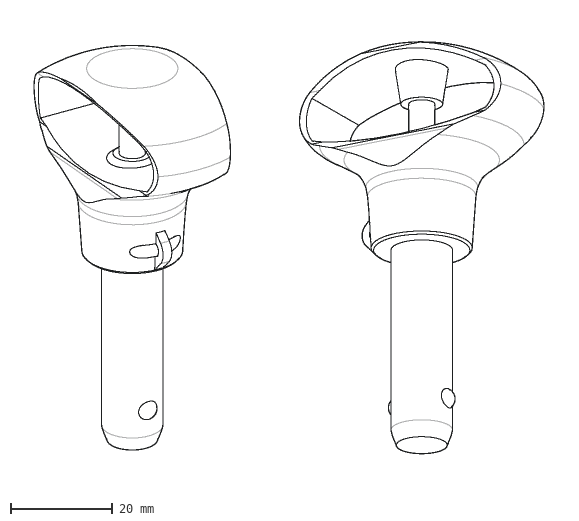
import cadquery as cq
import math

TOTAL_HEIGHT = 81.1
HANDLE_RADIUS = 24.5
HANDLE_MID_Z = 68.9

SHANK_RADIUS = 6.1
TIP_RADIUS = 5.0
TIP_MID_RADIUS = 5.7
TIP_LENGTH = 3.2

BALL_RADIUS = 2.2
BALL_REACH = 7.3
BALL_Z = 8.75

COLLAR_BOTTOM_Z = 40.8
COLLAR_BOTTOM_RADIUS = 10.0
COLLAR_TOP_Z = 52.1
COLLAR_TOP_RADIUS = 10.7
COLLAR_CHAMFER = 0.5

NECK_RADIUS = 11.0
NECK_Z = 54.0
FLARE_RADIUS = 15.3
FLARE_Z = 59.7
BULGE_RADIUS = 20.2
BULGE_Z = 62.8

TOP_FLAT_RADIUS = 9.0
SHOULDER_RADIUS = 22.0
SHOULDER_Z = 74.6

FLARE_MID = (12.65, 57.3)
LOWER_BULGE_MID = (23.35, 65.45)
UPPER_BULGE_MID = (23.85, 72.2)
DOME_MID = (15.7, 78.6)

FLAT_HALF_WIDTH = 11.35
RIM_HALF_WIDTH = 12.4
WAIST_HALF_WIDTH = 8.4
FLAT_TOP_Z = 60.7
EDGE_HALF_WIDTH = 11.2
EDGE_Z = 61.3
WAIST_START_HALF_WIDTH = 9.2
WAIST_START_Z = 63.75
WAIST_END_HALF_WIDTH = 9.6
WAIST_END_Z = 74.45
RIM_Z = 79.3

WINDOW_HALF_LENGTH = 21.4
WINDOW_LOWER_X = 19.8
WINDOW_LOWER_Z = 64.5
WINDOW_UPPER_X = 19.7
WINDOW_UPPER_Z = 73.3
WINDOW_TOP_Z = 78.9
WINDOW_BOTTOM_Z = 61.55

ROD_RADIUS = 2.6
BUTTON_BOTTOM_Z = 71.4
BUTTON_BOTTOM_RADIUS = 4.1
BUTTON_TOP_RADIUS = 5.3
BOSS_TOP_Z = 62.6
BOSS_TOP_RADIUS = 3.8
BOSS_BOTTOM_RADIUS = 5.1
OVERLAP = 0.8
CUT_REACH = HANDLE_RADIUS + 4.05
ENVELOPE_BOTTOM_Z = COLLAR_BOTTOM_Z - OVERLAP
ENVELOPE_TOP_Z = TOTAL_HEIGHT + OVERLAP

LUG_X = 9.9
LUG_Z = 45.8
LUG_RADIUS = 3.2
LUG_HOLE_RADIUS = 1.5
LUG_THICKNESS = 2.0
LUG_ROOT_X = 7.3


def handle_body():
    """Collar and domed handle, turned about Z from a profile on the +Y side."""
    return (
        cq.Workplane("YZ")
        .moveTo(0, COLLAR_BOTTOM_Z)
        .lineTo(COLLAR_BOTTOM_RADIUS - COLLAR_CHAMFER, COLLAR_BOTTOM_Z)
        .lineTo(COLLAR_BOTTOM_RADIUS, COLLAR_BOTTOM_Z + COLLAR_CHAMFER)
        .lineTo(COLLAR_TOP_RADIUS, COLLAR_TOP_Z)
        .lineTo(NECK_RADIUS, NECK_Z)
        .threePointArc(FLARE_MID, (FLARE_RADIUS, FLARE_Z))
        .lineTo(BULGE_RADIUS, BULGE_Z)
        .threePointArc(LOWER_BULGE_MID, (HANDLE_RADIUS, HANDLE_MID_Z))
        .threePointArc(UPPER_BULGE_MID, (SHOULDER_RADIUS, SHOULDER_Z))
        .threePointArc(DOME_MID, (TOP_FLAT_RADIUS, TOTAL_HEIGHT))
        .lineTo(0, TOTAL_HEIGHT)
        .close()
        .revolve(360, (0, 0, 0), (0, 1, 0))
    )


def side_envelope():
    """Waisted YZ outline, extruded along X, that trims both broad sides."""
    return (
        cq.Workplane("YZ")
        .moveTo(-FLAT_HALF_WIDTH, ENVELOPE_BOTTOM_Z)
        .lineTo(FLAT_HALF_WIDTH, ENVELOPE_BOTTOM_Z)
        .lineTo(FLAT_HALF_WIDTH, FLAT_TOP_Z)
        .lineTo(EDGE_HALF_WIDTH, EDGE_Z)
        .lineTo(WAIST_START_HALF_WIDTH, WAIST_START_Z)
        .threePointArc((WAIST_HALF_WIDTH, HANDLE_MID_Z), (WAIST_END_HALF_WIDTH, WAIST_END_Z))
        .lineTo(RIM_HALF_WIDTH, RIM_Z)
        .lineTo(RIM_HALF_WIDTH, ENVELOPE_TOP_Z)
        .lineTo(-RIM_HALF_WIDTH, ENVELOPE_TOP_Z)
        .lineTo(-RIM_HALF_WIDTH, RIM_Z)
        .lineTo(-WAIST_END_HALF_WIDTH, WAIST_END_Z)
        .threePointArc((-WAIST_HALF_WIDTH, HANDLE_MID_Z), (-WAIST_START_HALF_WIDTH, WAIST_START_Z))
        .lineTo(-EDGE_HALF_WIDTH, EDGE_Z)
        .lineTo(-FLAT_HALF_WIDTH, FLAT_TOP_Z)
        .close()
        .extrude(CUT_REACH, both=True)
    )


def finger_window():
    """Lens-shaped opening that passes through the handle along Y."""
    return (
        cq.Workplane("XZ")
        .moveTo(-WINDOW_LOWER_X, WINDOW_LOWER_Z)
        .threePointArc((0, WINDOW_BOTTOM_Z), (WINDOW_LOWER_X, WINDOW_LOWER_Z))
        .threePointArc((WINDOW_HALF_LENGTH, HANDLE_MID_Z), (WINDOW_UPPER_X, WINDOW_UPPER_Z))
        .threePointArc((0, WINDOW_TOP_Z), (-WINDOW_UPPER_X, WINDOW_UPPER_Z))
        .threePointArc((-WINDOW_HALF_LENGTH, HANDLE_MID_Z), (-WINDOW_LOWER_X, WINDOW_LOWER_Z))
        .close()
        .extrude(CUT_REACH, both=True)
    )


def release_button():
    """Rod in the window with a tapered button above and a small boss below."""
    return (
        cq.Workplane("XZ")
        .moveTo(0, WINDOW_BOTTOM_Z - OVERLAP)
        .lineTo(BOSS_BOTTOM_RADIUS, WINDOW_BOTTOM_Z - OVERLAP)
        .lineTo(BOSS_BOTTOM_RADIUS, WINDOW_BOTTOM_Z)
        .lineTo(BOSS_TOP_RADIUS, BOSS_TOP_Z)
        .lineTo(ROD_RADIUS, BOSS_TOP_Z)
        .lineTo(ROD_RADIUS, BUTTON_BOTTOM_Z)
        .lineTo(BUTTON_BOTTOM_RADIUS, BUTTON_BOTTOM_Z)
        .lineTo(BUTTON_TOP_RADIUS, WINDOW_TOP_Z)
        .lineTo(BUTTON_TOP_RADIUS, WINDOW_TOP_Z + OVERLAP)
        .lineTo(0, WINDOW_TOP_Z + OVERLAP)
        .close()
        .revolve(360, (0, 0, 0), (0, 1, 0))
    )


def shank():
    """Round shank with a slightly rounded tapered tip and two locking balls."""
    body = (
        cq.Workplane("XZ")
        .lineTo(TIP_RADIUS, 0)
        .threePointArc((TIP_MID_RADIUS, TIP_LENGTH / 2), (SHANK_RADIUS, TIP_LENGTH))
        .lineTo(SHANK_RADIUS, COLLAR_BOTTOM_Z + OVERLAP)
        .lineTo(0, COLLAR_BOTTOM_Z + OVERLAP)
        .close()
        .revolve(360, (0, 0, 0), (0, 1, 0))
    )
    for side in (-1, 1):
        ball_x = side * (BALL_REACH - BALL_RADIUS)
        ball = cq.Workplane("XY").sphere(BALL_RADIUS).translate((ball_x, 0, BALL_Z))
        body = body.union(ball)
    return body


def lanyard_lug():
    """Thin ear on the +X side of the collar, rounded about its hole."""
    arc_offset = LUG_RADIUS * math.cos(math.radians(45))
    return (
        cq.Workplane("XZ")
        .moveTo(LUG_ROOT_X, COLLAR_BOTTOM_Z + COLLAR_CHAMFER)
        .lineTo(LUG_X, COLLAR_BOTTOM_Z + COLLAR_CHAMFER)
        .lineTo(LUG_X + arc_offset, LUG_Z - arc_offset)
        .threePointArc((LUG_X + LUG_RADIUS, LUG_Z), (LUG_X + arc_offset, LUG_Z + arc_offset))
        .lineTo(LUG_X, LUG_Z + 2 * arc_offset)
        .lineTo(LUG_ROOT_X, LUG_Z + 2 * arc_offset)
        .close()
        .extrude(LUG_THICKNESS / 2, both=True)
    )


def lanyard_hole():
    """Hole along Y through the lug and the edge of the collar."""
    return (
        cq.Workplane("XZ")
        .center(LUG_X, LUG_Z)
        .circle(LUG_HOLE_RADIUS)
        .extrude(CUT_REACH, both=True)
    )


handle = handle_body().cut(finger_window()).intersect(side_envelope())
handle = handle.union(lanyard_lug()).cut(lanyard_hole())
result = handle.union(release_button()).union(shank())